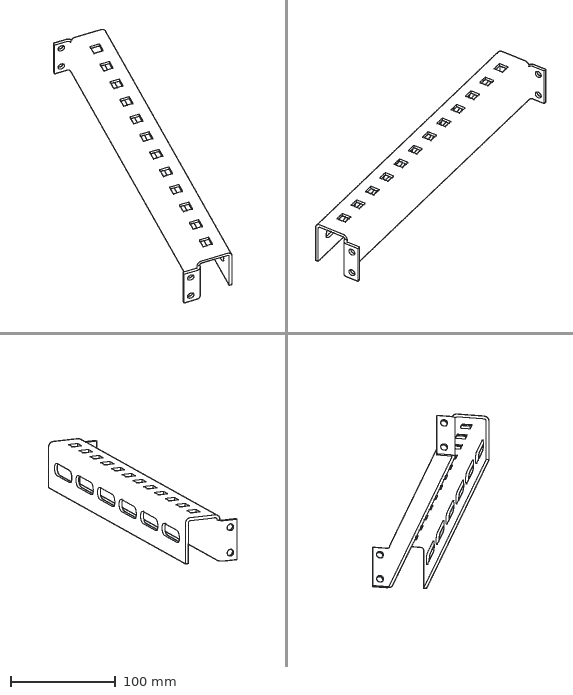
import cadquery as cq
import math

overall_length = 329.0
overall_depth = 51.5
height = 45.0
channel_width = 36.2
thickness = 3.0
bend_outer_radius = 5.3

pitch = 25.0
square_holes = 12
square_size = 9.5
wall_slots = 6
wall_slot_pitch = 2 * pitch
wall_slot_length = 40.0
wall_slot_height = 12.0
flange_holes = 2
flange_hole_diameter = 6.5
flange_hole_edge_distance = 7.0
flange_hole_foot_distance = 7.5

bend_inner_radius = bend_outer_radius - thickness
channel_length = overall_length - 2 * bend_outer_radius
half_channel = channel_length / 2
half_overall = overall_length / 2
wall_height = height - bend_outer_radius
wall_slot_z = height / 2
front_y = -channel_width
front_inner_y = front_y + thickness
bend_center_y = front_inner_y - bend_outer_radius


def row_positions(count, spacing):
    """X places of evenly spaced features centred on the part."""
    return [(i - (count - 1) / 2) * spacing for i in range(count)]


def make_channel():
    """Inverted U of bent sheet running along X."""
    outer = (
        cq.Workplane("XY")
        .box(channel_length, channel_width, height, centered=(True, False, False))
        .translate((0, front_y, 0))
        .edges("|X and >Z")
        .fillet(bend_outer_radius)
    )
    inner = (
        cq.Workplane("XY")
        .box(channel_length, channel_width - 2 * thickness, height - thickness, centered=(True, False, False))
        .translate((0, front_inner_y, 0))
        .edges("|X and >Z")
        .fillet(bend_inner_radius)
    )
    return outer.cut(inner)


def make_right_flange():
    """Tab bent forward from the +X end of the front wall, with two screw holes."""
    diagonal = math.sqrt(0.5)
    outer_mid = (half_channel + bend_outer_radius * diagonal, bend_center_y + bend_outer_radius * diagonal)
    inner_mid = (half_channel + bend_inner_radius * diagonal, bend_center_y + bend_inner_radius * diagonal)
    tab = (
        cq.Workplane("XY")
        .moveTo(half_channel, front_inner_y)
        .threePointArc(outer_mid, (half_overall, bend_center_y))
        .lineTo(half_overall, -overall_depth)
        .lineTo(half_overall - thickness, -overall_depth)
        .lineTo(half_overall - thickness, bend_center_y)
        .threePointArc(inner_mid, (half_channel, front_y))
        .close()
        .extrude(wall_height)
    )
    hole_y = flange_hole_edge_distance - overall_depth
    holes = (
        cq.Workplane("YZ", origin=(half_channel, 0, 0))
        .pushPoints([(hole_y, flange_hole_foot_distance + i * pitch) for i in range(flange_holes)])
        .circle(flange_hole_diameter / 2)
        .extrude(bend_outer_radius)
    )
    return tab.cut(holes)


def make_top_cutters():
    """Row of square holes along the middle of the top web."""
    return (
        cq.Workplane("XY", origin=(0, 0, height - thickness))
        .pushPoints([(x, front_y / 2) for x in row_positions(square_holes, pitch)])
        .rect(square_size, square_size)
        .extrude(thickness)
    )


def make_back_wall_cutters():
    """Row of long round-ended slots through the back wall."""
    return (
        cq.Workplane("XZ")
        .pushPoints([(x, wall_slot_z) for x in row_positions(wall_slots, wall_slot_pitch)])
        .slot2D(wall_slot_length, wall_slot_height)
        .extrude(thickness)
    )


right_flange = make_right_flange()
left_flange = right_flange.mirror("YZ")
result = (
    make_channel()
    .union(right_flange)
    .union(left_flange)
    .cut(make_top_cutters())
    .cut(make_back_wall_cutters())
)